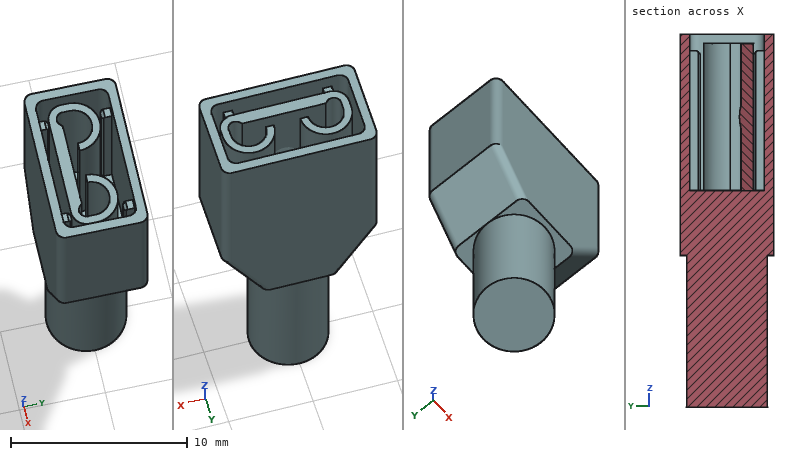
import cadquery as cq
import math

total_height = 21.2
box_width = 9.2
box_depth = 5.32
neck_diameter = 4.62
neck_height = 8.61
shoulder_top = 12.32
corner_radius = 0.5
wall = 0.55
cavity_floor = shoulder_top

rib_x = 2.95
rib_width = 0.53
rib_reach = 0.6
rib_corner = 0.1
rib_slope = 0.2
rib_top = 20.25

terminal_top = 20.68
curl_x = 2.3
curl_y = -0.2
curl_outer_radius = 1.5
sheet = 0.47
bend_outer_radius = 0.9
bar_thickness = 0.72
dimple_radius = 0.75
dimple_height = 0.1

cavity_width = box_width - 2 * wall
cavity_depth = box_depth - 2 * wall
back_y = -cavity_depth / 2 + rib_reach
bar_y = back_y + bar_thickness
shoulder_height = shoulder_top - neck_height
terminal_height = terminal_top - cavity_floor
curl_inner_radius = curl_outer_radius - sheet
outer_x = curl_x + curl_outer_radius
inner_x = outer_x - sheet
bend_x = outer_x - bend_outer_radius
bend_y = back_y + bend_outer_radius
bend_inner_radius = bend_outer_radius - sheet


def rounded_rectangle(width, depth):
    return cq.Sketch().rect(width, depth).vertices().fillet(corner_radius)


def rounded_block(width, depth, bottom):
    """Block with rounded upright edges, from bottom up to the open end of the housing."""
    base = cq.Workplane("XY").workplane(offset=bottom)
    return base.placeSketch(rounded_rectangle(width, depth)).extrude(total_height - bottom)


def make_rib(x, side):
    """One rib on the +Y (side=1) or -Y (side=-1) cavity wall, its tip bevelled."""
    wall_y = side * cavity_depth / 2
    tip_y = wall_y - side * rib_reach
    bevel_y = tip_y + side * rib_corner
    half_width = rib_width / 2
    half_tip = half_width - rib_corner
    plan = [
        (x - half_width, wall_y),
        (x + half_width, wall_y),
        (x + half_width, bevel_y),
        (x + half_tip, tip_y),
        (x - half_tip, tip_y),
        (x - half_width, bevel_y),
    ]
    rib = cq.Workplane("XY").workplane(offset=cavity_floor).polyline(plan).close()
    rib = rib.extrude(rib_top - cavity_floor)
    tip_face = "<Y" if side > 0 else ">Y"
    return rib.faces(tip_face).edges(">Z").chamfer(rib_slope)


def make_housing():
    box = rounded_block(box_width, box_depth, shoulder_top)
    shoulders = (
        cq.Workplane("XY")
        .workplane(offset=neck_height)
        .placeSketch(
            rounded_rectangle(neck_diameter, box_depth),
            rounded_rectangle(box_width, box_depth).moved(cq.Location(cq.Vector(0, 0, shoulder_height))),
        )
        .loft(ruled=True)
    )
    neck = cq.Workplane("XY").circle(neck_diameter / 2).extrude(neck_height)
    cavity = rounded_block(cavity_width, cavity_depth, cavity_floor)
    housing = box.union(shoulders).union(neck).cut(cavity)
    for x in (-rib_x, rib_x):
        for side in (-1, 1):
            housing = housing.union(make_rib(x, side))
    return housing


def make_terminal():
    """Bar along X whose ends bend up and curl inward, plus a shallow contact dimple."""
    diagonal = math.sqrt(0.5)
    bend_out = bend_outer_radius * diagonal
    bend_in = bend_inner_radius * diagonal
    ramp_x = bend_x - bend_in
    ramp_y = bend_y - bend_in
    ramp_rise = bar_y - ramp_y

    half = (
        cq.Workplane("XY")
        .workplane(offset=cavity_floor)
        .moveTo(0, back_y)
        .lineTo(bend_x, back_y)
        .threePointArc((bend_x + bend_out, bend_y - bend_out), (outer_x, bend_y))
        .lineTo(outer_x, curl_y)
        .threePointArc((curl_x, curl_y + curl_outer_radius), (curl_x - curl_outer_radius, curl_y))
        .lineTo(curl_x - curl_inner_radius, curl_y)
        .threePointArc((curl_x, curl_y + curl_inner_radius), (inner_x, curl_y))
        .lineTo(inner_x, bend_y)
        .threePointArc((bend_x, bend_y - bend_inner_radius), (ramp_x, ramp_y))
        .lineTo(ramp_x - ramp_rise, bar_y)
        .lineTo(0, bar_y)
        .close()
        .extrude(terminal_height)
    )
    terminal = half.union(half.mirror("YZ"), clean=True)
    ball_radius = (dimple_radius**2 + dimple_height**2) / (2 * dimple_height)
    dimple_z = cavity_floor + terminal_height / 2
    ball = cq.Workplane("XY").sphere(ball_radius)
    ball = ball.translate((0, bar_y + dimple_height - ball_radius, dimple_z))
    cap_zone = cq.Workplane("XY").box(
        2 * dimple_radius, bar_thickness, 2 * dimple_radius
    ).translate((0, bar_y, dimple_z))
    return terminal.union(ball.intersect(cap_zone))


housing = make_housing()
terminal = make_terminal()
result = cq.Compound.makeCompound([housing.solids().val(), terminal.solids().val()])